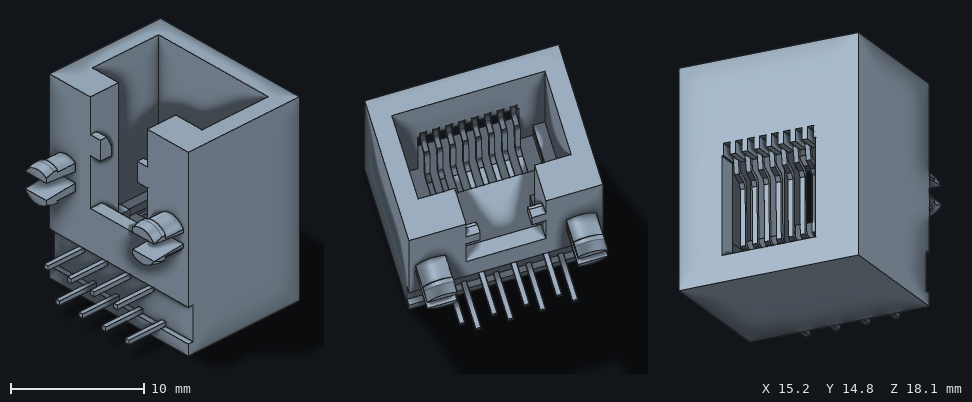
import cadquery as cq


WIDTH = 15.24
DEPTH = 11.48
HEIGHT = 18.1
PIN_REACH = 3.33

CAVITY_HALF_WIDTH = 6.01
CAVITY_FRONT = 2.93
CAVITY_REAR = 9.75
SIDE_LEDGE_Z = 4.76
SIDE_LEDGE_X = 5.07
FRONT_LEDGE_Z = 6.34
FRONT_LEDGE_REAR = 4.09
FLOOR_Z = 4.1

LATCH_HALF_WIDTH = 3.13
LATCH_SILL_Z = 8.22
SILL_THICKNESS = 1.18

CATCH_LENGTH = 1.1
CATCH_TOP = 14.75
CATCH_BOTTOM = 12.89
CATCH_FLAT = 0.67
CATCH_BEVEL_HEIGHT = 1.0

WELL_FRONT = 6.53
WELL_FLOOR_Z = 2.17
GROOVE_BOTTOM = 3.62
GROOVE_DEPTH = 0.3

WINDOW_HALF_WIDTH = 3.96
WINDOW_TOP = 10.26
COMB_TOP = 11.25
COMB_SLOT_WIDTH = 0.55

CONTACT_COUNT = 8
CONTACT_PITCH = 1.01
CONTACT_WIDTH = 0.42
CONTACT_THICKNESS = 0.27
CONTACT_BASE_Z = 3.62
OVERLAP = 0.09

RECESS_BOTTOM = 1.09
RECESS_TOP = 4.35
RECESS_DEPTH = 0.49

PIN_COUNT = 8
PIN_PITCH = 1.27
PIN_SIZE = 0.42
PIN_ROW_SPACING = 2 * PIN_PITCH
LOWER_PIN_Z = RECESS_BOTTOM + PIN_SIZE / 2

PEG_X = 5.72
PEG_Z = 10.23
PEG_INNER_X = 4.75
PEG_OUTER_X = 7.1
SHANK_RADIUS = 1.6
HEAD_RADIUS = 1.75
TIP_RADIUS = 1.55
SHANK_LENGTH = 1.85
HEAD_END = 2.23
PEG_LENGTH = 3.02
SPLIT_ROOT = 1.01
SPLIT_TIP = 1.52


def block(x_range, y_range, z_range):
    """Box between the given limits."""
    size = [high - low for low, high in (x_range, y_range, z_range)]
    corner = (x_range[0], y_range[0], z_range[0])
    return cq.Workplane("XY").box(*size, centered=False).translate(corner)


def centred_block(half_width, y_range, z_range):
    """Box that is symmetric about X = 0."""
    return block((-half_width, half_width), y_range, z_range)


def row_positions(count, pitch):
    """Evenly spaced X positions centred on X = 0."""
    return [(i - (count - 1) / 2) * pitch for i in range(count)]


def plug_cavity():
    """Stepped opening for the plug and its latch."""
    upper = centred_block(CAVITY_HALF_WIDTH, (CAVITY_FRONT, CAVITY_REAR), (FRONT_LEDGE_Z, HEIGHT))
    middle = centred_block(CAVITY_HALF_WIDTH, (FRONT_LEDGE_REAR, CAVITY_REAR), (SIDE_LEDGE_Z, HEIGHT))
    lower = centred_block(SIDE_LEDGE_X, (FRONT_LEDGE_REAR, CAVITY_REAR), (FLOOR_Z, HEIGHT))
    latch_bay = centred_block(LATCH_HALF_WIDTH, (SILL_THICKNESS, CAVITY_REAR), (FLOOR_Z, HEIGHT))
    latch_slot = centred_block(LATCH_HALF_WIDTH, (0, CAVITY_REAR), (LATCH_SILL_Z, HEIGHT))
    return upper.union(middle).union(lower).union(latch_bay).union(latch_slot)


def contact_well():
    """Well with side grooves, open to the rear through the window and comb slots."""
    well = centred_block(SIDE_LEDGE_X, (WELL_FRONT, CAVITY_REAR), (WELL_FLOOR_Z, FLOOR_Z))
    grooves = centred_block(
        SIDE_LEDGE_X + GROOVE_DEPTH, (WELL_FRONT, CAVITY_REAR), (GROOVE_BOTTOM, FLOOR_Z)
    )
    window = centred_block(WINDOW_HALF_WIDTH, (WELL_FRONT, DEPTH), (WELL_FLOOR_Z, WINDOW_TOP))
    space = well.union(grooves).union(window)
    for x in row_positions(CONTACT_COUNT, CONTACT_PITCH):
        comb_slot = centred_block(COMB_SLOT_WIDTH / 2, (CAVITY_REAR, DEPTH), (FLOOR_Z, COMB_TOP))
        space = space.union(comb_slot.translate((x, 0, 0)))
    return space


def catch():
    """Latch catch on the +X side, bevelled on its upper inner edge."""
    profile = [
        (0, CATCH_BOTTOM),
        (SILL_THICKNESS, CATCH_BOTTOM),
        (SILL_THICKNESS, CATCH_TOP - CATCH_BEVEL_HEIGHT),
        (CATCH_FLAT, CATCH_TOP),
        (0, CATCH_TOP),
    ]
    solid = cq.Workplane("YZ").polyline(profile).close().extrude(CATCH_LENGTH)
    return solid.translate((LATCH_HALF_WIDTH - CATCH_LENGTH, 0, 0))


def contact():
    """Bent strip rising from the floor block to the comb slot; its section lies in the YZ plane."""
    start = (WELL_FRONT - OVERLAP, CONTACT_BASE_Z)
    base_end = (8.02, CONTACT_BASE_Z)
    ramp_end = (8.45, 3.85)
    riser_start = (8.62, 4.25)
    riser_top = (8.69, 8.55)
    shelf_start = (8.85, 9.1)
    shelf_end = (9.52, 9.45)
    tip_start = (9.68, 9.77)
    tip = (9.94, COMB_TOP + OVERLAP)
    back_corners = [
        (9.85, 9.27),
        (9.12, 8.85),
        (8.9, 8.42),
        (8.87, 3.8),
        (8.15, CONTACT_BASE_Z - CONTACT_THICKNESS),
    ]
    profile = (
        cq.Workplane("YZ")
        .moveTo(*start)
        .lineTo(*base_end)
        .lineTo(*ramp_end)
        .tangentArcPoint(riser_start, relative=False)
        .lineTo(*riser_top)
        .tangentArcPoint(shelf_start, relative=False)
        .lineTo(*shelf_end)
        .tangentArcPoint(tip_start, relative=False)
        .lineTo(*tip)
        .lineTo(tip[0] + CONTACT_THICKNESS, tip[1])
    )
    for corner in back_corners:
        profile = profile.lineTo(*corner)
    profile = profile.lineTo(start[0], start[1] - CONTACT_THICKNESS).close()
    return profile.extrude(CONTACT_WIDTH / 2, both=True)


def solder_pin():
    """Square pin at X = 0 in the lower row."""
    return centred_block(
        PIN_SIZE / 2,
        (-PIN_REACH, RECESS_DEPTH + OVERLAP),
        (LOWER_PIN_Z - PIN_SIZE / 2, LOWER_PIN_Z + PIN_SIZE / 2),
    )


def peg():
    """Split snap peg on the +X side, flattened on its inner and outer sides."""
    half_profile = [
        (0, OVERLAP),
        (SHANK_RADIUS, OVERLAP),
        (SHANK_RADIUS, -SHANK_LENGTH),
        (HEAD_RADIUS, -SHANK_LENGTH),
        (HEAD_RADIUS, -HEAD_END),
        (TIP_RADIUS, -PEG_LENGTH),
        (0, -PEG_LENGTH),
    ]
    round_peg = cq.Workplane("XY").polyline(half_profile).close().revolve(360, (0, 0, 0), (0, 1, 0))
    round_peg = round_peg.translate((PEG_X, 0, PEG_Z))
    flats = block(
        (PEG_INNER_X, PEG_OUTER_X),
        (-PEG_LENGTH, OVERLAP),
        (PEG_Z - HEAD_RADIUS, PEG_Z + HEAD_RADIUS),
    )
    split_profile = [
        (0, PEG_Z - SPLIT_ROOT / 2),
        (-PEG_LENGTH, PEG_Z - SPLIT_TIP / 2),
        (-PEG_LENGTH, PEG_Z + SPLIT_TIP / 2),
        (0, PEG_Z + SPLIT_ROOT / 2),
    ]
    split = cq.Workplane("YZ").polyline(split_profile).close().extrude(WIDTH / 2)
    return round_peg.intersect(flats).cut(split)


def with_mirror(solid):
    """The solid together with its mirror image across X = 0."""
    return solid.union(solid.mirror("YZ"))


result = centred_block(WIDTH / 2, (0, DEPTH), (0, HEIGHT))
result = result.cut(plug_cavity())
result = result.cut(contact_well())
result = result.cut(centred_block(WIDTH / 2, (0, RECESS_DEPTH), (RECESS_BOTTOM, RECESS_TOP)))

result = result.union(with_mirror(catch()))
result = result.union(with_mirror(peg()))

for contact_x in row_positions(CONTACT_COUNT, CONTACT_PITCH):
    result = result.union(contact().translate((contact_x, 0, 0)))

for index, pin_x in enumerate(row_positions(PIN_COUNT, PIN_PITCH)):
    rise = PIN_ROW_SPACING if index % 2 == 0 else 0
    result = result.union(solder_pin().translate((pin_x, 0, rise)))

result = cq.Workplane(result.solids().val())